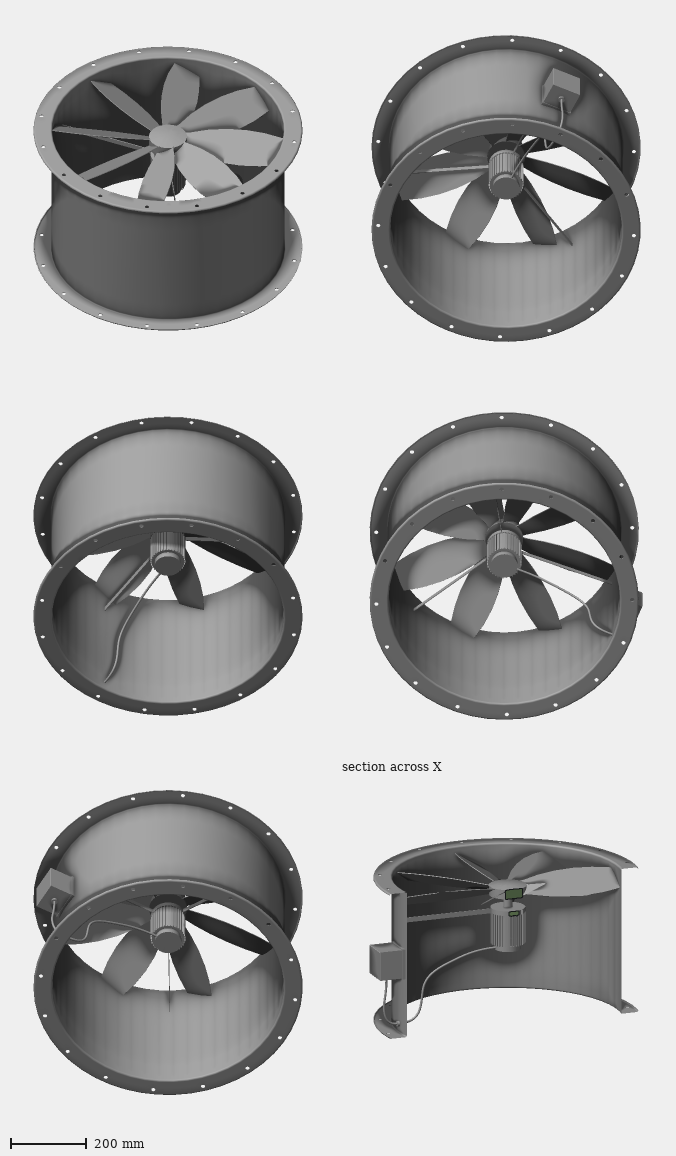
import cadquery as cq
import math


CASING_HEIGHT = 400
CASING_BORE_RADIUS = 305.5
SHEET = 2
CASING_RADIUS = CASING_BORE_RADIUS + SHEET
FLANGE_RADIUS = 355
OUTER_BEND_RADIUS = 5
INNER_BEND_RADIUS = OUTER_BEND_RADIUS - SHEET
BOLT_CIRCLE_RADIUS = 337.5
BOLT_HOLE_DIAMETER = 11
BOLT_COUNT = 16

BLADE_COUNT = 8
BLADE_ROOT_OVERLAP = 2
BLADE_PITCH = 30
BLADE_THICKNESS = 2
TIP_CLEARANCE = 0.1
BLADE_TIP_RADIUS = CASING_BORE_RADIUS - TIP_CLEARANCE
BLADE_WIDEST_RADIUS = 195
BLADE_ROOT_HALF_WIDTH = 26.5
BLADE_WIDEST_HALF_WIDTH = 51
BLADE_TIP_HALF_WIDTH = 37
IMPELLER_Z = 162
HUB_RADIUS = 50
HUB_HEIGHT = 26
HUB_DOME_HEIGHT = 6
HUB_TOP = IMPELLER_Z + HUB_HEIGHT / 2
HUB_BOTTOM = IMPELLER_Z - HUB_HEIGHT / 2

MOTOR_RADIUS = 43
MOTOR_TOP = 115
MOTOR_BOTTOM = 16
END_BELL_RADIUS = 35
END_BELL_BOTTOM = 0
FIN_RADIUS = 46
FIN_THICKNESS = 2
FIN_COUNT = 36
SHAFT_RADIUS = 12
COLLAR_RADIUS = 46
STRUT_COUNT = 3
FIRST_STRUT_ANGLE = 90
STRUT_HEIGHT = 13
STRUT_THICKNESS = 2

BOX_SIZE = 78
BOX_FRONT = 376
BOX_EDGE_CHAMFER = 1
BOX_BACK = 313.5
SADDLE_SIZE = 82

CABLE_RADIUS = 3
BOX_GLAND_RADIUS = 8.5
BOX_GLAND_LENGTH = 5
BOX_GLAND_Y = 343
CASING_GLAND_RADIUS = 7.5
CASING_GLAND_LENGTH = 6
CASING_GLAND_Z = -174
CABLE_MOTOR_Z = 6
CABLE_OUTER_BULGE = (349, -137)
CABLE_INNER_SAG = [(113, -3.5), (159, -19), (235, -72)]


def cylinder(radius, bottom, top):
    return cq.Workplane("XY").workplane(offset=bottom).circle(radius).extrude(top - bottom)


def y_cylinder(radius, z, near, far):
    profile = cq.Workplane("XZ", origin=(0, near, 0)).center(0, z).circle(radius)
    return profile.extrude(near - far)


def casing_shell():
    """Sheet wall bent outward into a flange at both ends, each flange rim turned back, as one revolve."""
    top = CASING_HEIGHT / 2
    flange_under = top - SHEET
    bend_z = top - OUTER_BEND_RADIUS
    bend_r = CASING_BORE_RADIUS + OUTER_BEND_RADIUS
    lip_r = FLANGE_RADIUS - OUTER_BEND_RADIUS
    inner_mid = INNER_BEND_RADIUS * math.sqrt(0.5)
    outer_mid = OUTER_BEND_RADIUS * math.sqrt(0.5)

    profile = (
        cq.Workplane("XZ")
        .moveTo(-CASING_RADIUS, -bend_z)
        .lineTo(-CASING_RADIUS, bend_z)
        .threePointArc((-bend_r + inner_mid, bend_z + inner_mid), (-bend_r, flange_under))
        .lineTo(-lip_r, flange_under)
        .threePointArc((-lip_r - inner_mid, bend_z + inner_mid), (-FLANGE_RADIUS + SHEET, bend_z))
        .lineTo(-FLANGE_RADIUS, bend_z)
        .threePointArc((-lip_r - outer_mid, bend_z + outer_mid), (-lip_r, top))
        .lineTo(-bend_r, top)
        .threePointArc((-bend_r + outer_mid, bend_z + outer_mid), (-CASING_BORE_RADIUS, bend_z))
        .lineTo(-CASING_BORE_RADIUS, -bend_z)
        .threePointArc((-bend_r + outer_mid, -bend_z - outer_mid), (-bend_r, -top))
        .lineTo(-lip_r, -top)
        .threePointArc((-lip_r - outer_mid, -bend_z - outer_mid), (-FLANGE_RADIUS, -bend_z))
        .lineTo(-FLANGE_RADIUS + SHEET, -bend_z)
        .threePointArc((-lip_r - inner_mid, -bend_z - inner_mid), (-lip_r, -flange_under))
        .lineTo(-bend_r, -flange_under)
        .threePointArc((-bend_r + inner_mid, -bend_z - inner_mid), (-CASING_RADIUS, -bend_z))
        .close()
    )
    return profile.revolve(360, (0, 0, 0), (0, 1, 0))


def make_casing():
    bolt_holes = (
        cq.Workplane("XY")
        .workplane(offset=-CASING_HEIGHT / 2)
        .polarArray(BOLT_CIRCLE_RADIUS, 0, 360, BOLT_COUNT)
        .circle(BOLT_HOLE_DIAMETER / 2)
        .extrude(CASING_HEIGHT)
    )
    cable_hole = y_cylinder(CABLE_RADIUS, CASING_GLAND_Z, CASING_BORE_RADIUS - SHEET, CASING_RADIUS + SHEET)
    return casing_shell().cut(bolt_holes).cut(cable_hole)


def make_blade():
    """One blade along +X, its +Y edge raised by the pitch, trimmed to the tip radius."""
    overlong = BLADE_TIP_RADIUS + BLADE_THICKNESS
    blade = (
        cq.Workplane("XY")
        .moveTo(0, -BLADE_ROOT_HALF_WIDTH)
        .lineTo(HUB_RADIUS, -BLADE_ROOT_HALF_WIDTH)
        .threePointArc((BLADE_WIDEST_RADIUS, -BLADE_WIDEST_HALF_WIDTH), (overlong, -BLADE_TIP_HALF_WIDTH))
        .lineTo(overlong, BLADE_TIP_HALF_WIDTH)
        .threePointArc((BLADE_WIDEST_RADIUS, BLADE_WIDEST_HALF_WIDTH), (HUB_RADIUS, BLADE_ROOT_HALF_WIDTH))
        .lineTo(0, BLADE_ROOT_HALF_WIDTH)
        .close()
        .extrude(BLADE_THICKNESS / 2, both=True)
        .rotate((0, 0, 0), (1, 0, 0), BLADE_PITCH)
        .translate((0, 0, IMPELLER_Z))
    )
    swept_space = cylinder(BLADE_TIP_RADIUS, HUB_BOTTOM - HUB_RADIUS, HUB_TOP + HUB_RADIUS)
    hub_space = cylinder(HUB_RADIUS - BLADE_ROOT_OVERLAP, HUB_BOTTOM - HUB_RADIUS, HUB_TOP + HUB_RADIUS)
    return blade.intersect(swept_space).cut(hub_space)


def make_impeller():
    dome_sphere_radius = (HUB_RADIUS**2 + HUB_DOME_HEIGHT**2) / (2 * HUB_DOME_HEIGHT)
    hub = (
        cq.Workplane("YZ")
        .moveTo(0, HUB_BOTTOM)
        .lineTo(HUB_RADIUS, HUB_BOTTOM)
        .lineTo(HUB_RADIUS, HUB_TOP)
        .radiusArc((0, HUB_TOP + HUB_DOME_HEIGHT), -dome_sphere_radius)
        .close()
        .revolve(360, (0, 0, 0), (0, 1, 0))
    )
    blade = make_blade()
    for number in range(BLADE_COUNT):
        hub = hub.union(blade.rotate((0, 0, 0), (0, 0, 1), number * 360 / BLADE_COUNT))
    return hub


def make_motor():
    """Cylindrical motor with upright cooling fins below the collar, an end bell and a shaft up to the hub."""
    motor = cylinder(MOTOR_RADIUS, MOTOR_BOTTOM, MOTOR_TOP)
    fin_height = MOTOR_TOP - STRUT_HEIGHT - MOTOR_BOTTOM
    fins = (
        cq.Workplane("XY")
        .workplane(offset=MOTOR_BOTTOM)
        .polarArray(FIN_RADIUS / 2, 0, 360, FIN_COUNT)
        .rect(FIN_RADIUS, FIN_THICKNESS)
        .extrude(fin_height)
    )
    end_bell = cylinder(END_BELL_RADIUS, END_BELL_BOTTOM, MOTOR_BOTTOM)
    return motor.union(fins).union(end_bell).union(cylinder(SHAFT_RADIUS, MOTOR_TOP, HUB_BOTTOM))


def make_support():
    """A collar around the motor top, held by radial flat struts that reach the casing bore."""
    bottom = MOTOR_TOP - STRUT_HEIGHT
    support = cylinder(COLLAR_RADIUS, bottom, MOTOR_TOP)
    strut = (
        cq.Workplane("XY")
        .box(CASING_RADIUS, STRUT_THICKNESS, STRUT_HEIGHT, centered=(False, True, False))
        .translate((0, 0, bottom))
    )
    for number in range(STRUT_COUNT):
        angle = FIRST_STRUT_ANGLE + number * 360 / STRUT_COUNT
        support = support.union(strut.rotate((0, 0, 0), (0, 0, 1), angle))
    within_bore = cylinder(CASING_BORE_RADIUS, bottom, MOTOR_TOP)
    return support.intersect(within_bore).cut(cylinder(MOTOR_RADIUS, bottom, MOTOR_TOP))


def make_terminal_box():
    saddle = cq.Workplane("XY").box(SADDLE_SIZE, BOX_BACK, SADDLE_SIZE, centered=(True, False, True))
    saddle = saddle.cut(cylinder(CASING_RADIUS, -SADDLE_SIZE, SADDLE_SIZE))
    box = (
        cq.Workplane("XY")
        .box(BOX_SIZE, BOX_FRONT - BOX_BACK, BOX_SIZE, centered=(True, False, True))
        .translate((0, BOX_BACK, 0))
        .faces(">Y")
        .chamfer(BOX_EDGE_CHAMFER)
    )
    return box.union(saddle)


def make_cable():
    """Cable from the box gland, round through the casing wall and up to the motor."""
    gland_bottom = -BOX_SIZE / 2 - BOX_GLAND_LENGTH
    gland_end = CASING_RADIUS + CASING_GLAND_LENGTH
    down = (0, -1)
    inward = (-1, 0)

    outer_start = (BOX_GLAND_Y, gland_bottom)
    outer_path = cq.Workplane("YZ").spline(
        [outer_start, CABLE_OUTER_BULGE, (gland_end, CASING_GLAND_Z)], tangents=[down, inward]
    )
    outer = cq.Workplane("XY", origin=(0, *outer_start)).circle(CABLE_RADIUS).sweep(outer_path)

    inner_path = cq.Workplane("YZ").spline(
        [(END_BELL_RADIUS, CABLE_MOTOR_Z), *CABLE_INNER_SAG, (CASING_BORE_RADIUS, CASING_GLAND_Z)],
        tangents=[(1, 0), (1, 0)],
    )
    inner = cq.Workplane("XZ", origin=(0, 0, CABLE_MOTOR_Z)).workplane(offset=-END_BELL_RADIUS)
    inner = inner.circle(CABLE_RADIUS).sweep(inner_path)
    inner = inner.cut(cylinder(END_BELL_RADIUS, END_BELL_BOTTOM, MOTOR_BOTTOM))

    through_wall = y_cylinder(CABLE_RADIUS, CASING_GLAND_Z, CASING_BORE_RADIUS, gland_end)
    casing_gland = y_cylinder(CASING_GLAND_RADIUS, CASING_GLAND_Z, CASING_BORE_RADIUS, gland_end)
    casing_gland = casing_gland.cut(cylinder(CASING_RADIUS, -CASING_HEIGHT / 2, CASING_HEIGHT / 2))
    box_gland = cylinder(BOX_GLAND_RADIUS, gland_bottom, -BOX_SIZE / 2).translate((0, BOX_GLAND_Y, 0))
    return through_wall.union(casing_gland).union(outer).union(box_gland).union(inner)


casing = make_casing()
impeller = make_impeller()
motor = make_motor()
support = make_support()
terminal_box = make_terminal_box()
cable = make_cable()

result = cq.Compound.makeCompound(
    [
        casing.solids().val(),
        impeller.solids().val(),
        motor.solids().val(),
        support.solids().val(),
        terminal_box.solids().val(),
        cable.solids().val(),
    ]
)